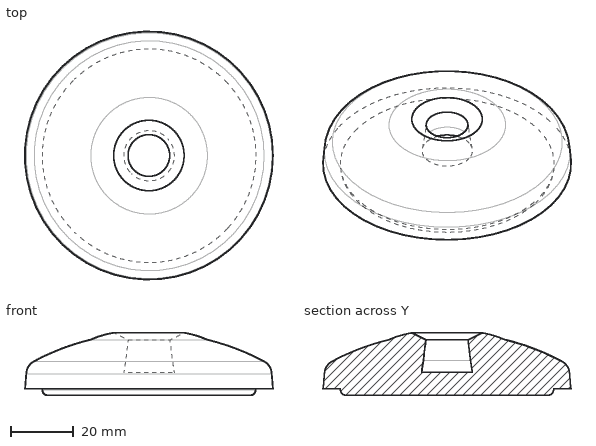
import cadquery as cq
import math

outer_radius = 39.5
total_height = 20.0

spigot_radius = 68.0 / 2
spigot_height = 2.05
spigot_round = 1.8

rim_top_radius = 39.1
rim_top_height = 6.95
dome_edge_radius = 36.6
dome_edge_height = 10.9
shoulder_round = 4.75
dome_sphere_radius = 76.6

crown_radius = 18.6
crown_base_height = 17.8
crown_round = 31.6

mouth_radius = 11.2
throat_radius = 6.6
throat_height = 17.7
waist_radius = 7.4
bore_radius = 16.0 / 2
waist_height = 11.1
bore_floor_height = 7.4


def arc_sagitta(start, end, radius):
    """Bulge of an arc with the given radius between two points."""
    half_chord = math.dist(start, end) / 2
    return radius - math.sqrt(radius**2 - half_chord**2)


def arc_to(profile, start, end, radius):
    """Add an outward-bulging arc to a profile that runs up the outside."""
    return profile.sagittaArc(end, -arc_sagitta(start, end, radius))


spigot_bottom = (spigot_radius - spigot_round, 0)
spigot_side = (spigot_radius, spigot_round)
rim_top = (rim_top_radius, rim_top_height)
dome_edge = (dome_edge_radius, dome_edge_height)
crown_base = (crown_radius, crown_base_height)
mouth = (mouth_radius, total_height)

profile = cq.Workplane("XZ").lineTo(*spigot_bottom)
profile = arc_to(profile, spigot_bottom, spigot_side, spigot_round)
profile = (
    profile.lineTo(spigot_radius, spigot_height)
    .lineTo(outer_radius, spigot_height)
    .lineTo(*rim_top)
)
profile = arc_to(profile, rim_top, dome_edge, shoulder_round)
profile = arc_to(profile, dome_edge, crown_base, dome_sphere_radius)
profile = arc_to(profile, crown_base, mouth, crown_round)
profile = (
    profile.lineTo(throat_radius, throat_height)
    .lineTo(waist_radius, waist_height)
    .lineTo(bore_radius, bore_floor_height)
    .lineTo(0, bore_floor_height)
    .close()
)

result = profile.revolve(360, (0, 0, 0), (0, 1, 0))